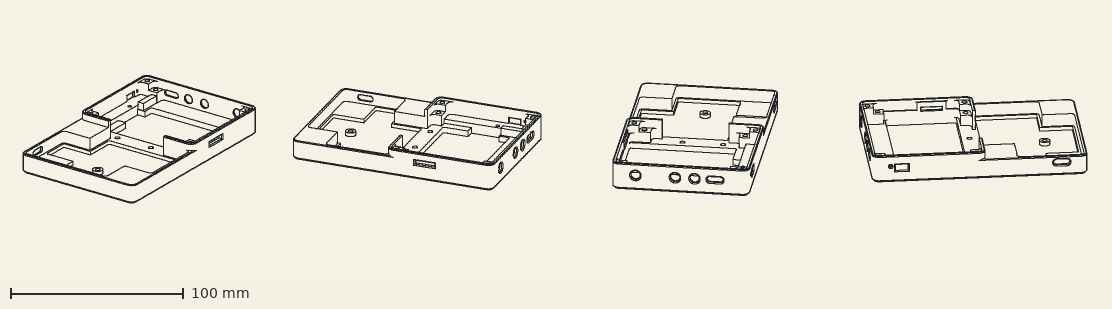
import cadquery as cq

LENGTH = 125.0
WIDTH = 80.0
HEIGHT = 16.5
LOW_HEIGHT = 12.0
WALL = 1.8
CORNER_R = 4.0
BOTTOM_CHAMFER = 1.2
RIM_CHAMFER = 0.5
STEP_Y = -3.2

FLOOR_Z = 2.2
LEDGE_Z = 4.5
TRAY_Z = 1.0
INNER_R = CORNER_R - WALL
POCKET_R = 1.0

X_IN = WIDTH / 2 - WALL
Y_IN = LENGTH / 2 - WALL
DIVIDER_Y = STEP_Y + WALL
GAP_X = 19.5

COVER_Z = 15.0
BOARD_Z = 11.0
POST_X = 35.5
POST_REAR_Y = 58.0
POST_FRONT_Y = 1.5
POST_PITCH = 6.0
POST_HALF = 3.2
WIDE_POST_X = 25.5
SCREW_D = 2.8
SCREW_DEPTH = 6.0

STRIP_X = -30.2
STRIP_Z = 7.1
RIB_WIDTH = 3.8
RIB_X = STRIP_X + RIB_WIDTH
RIB_FRONT_Y = 41.5
RIB_Z = 9.0
DRAIN_D = 2.0
DRAIN_X, DRAIN_Y = -33.0, 37.0

TRAY_X = -25.0
TRAY_RIGHT = 37.5
TRAY_FRONT_Y, TRAY_REAR_Y = 6.2, 47.5
NOTCH_FRONT_Y, NOTCH_REAR_Y = 21.8, 41.0

LINER_X = TRAY_RIGHT
LINER_Z = 10.0
CARD_Y = 20.5
CARD_BLOCK_LENGTH = 17.0
CARD_SLOT_LENGTH = 12.5
CARD_SLOT_Z = 10.5
CARD_SLOT_HEIGHT = 2.5

MARGIN = 1.2
ARM_REAR_Y = -22.0
ARM_FRONT_Y = -42.0
DEEP_FRONT_Y = -40.5
FRONT_POST_Y = -41.5
FRONT_POST_D = 6.0
FRONT_POST_Z = LEDGE_Z
PIN_DEPTH = 2.5
PIN_XS = (-16.5, 7.2)

OPENING_CHAMFER = 0.6
WINDOW_LENGTH, WINDOW_HEIGHT = 7.5, 3.8
WINDOW_Y = 45.5
WINDOW_Z = STRIP_Z + WINDOW_HEIGHT / 2
LED_Y, LED_Z, LED_D = 52.0, 10.0, 1.5
SLOT_LENGTH, SLOT_HEIGHT = 9.5, 3.5
SLOT_Y, SLOT_Z = -47.5, 8.2
REAR_HOLE_D = 5.5
REAR_HOLE_XS = (-8.2, 3.1, 26.2)
REAR_SLOT_X = -20.2
REAR_Z = 9.4


def block(x0, x1, y0, y1, z0, z1, radius=0.0):
    """Box between two corners, optionally with rounded vertical edges."""
    box = cq.Workplane("XY").box(x1 - x0, y1 - y0, z1 - z0, centered=False)
    if radius:
        box = box.edges("|Z").fillet(radius)
    return box.translate((x0, y0, z0))


def rod(x, y, z0, z1, diameter):
    """Vertical cylinder."""
    return cq.Workplane("XY", origin=(x, y, z0)).circle(diameter / 2).extrude(z1 - z0)


half_x, half_y = WIDTH / 2, LENGTH / 2
low_body = block(-half_x, half_x, -half_y, half_y, 0, LOW_HEIGHT, CORNER_R)
low_body = low_body.faces("<Z").edges().chamfer(BOTTOM_CHAMFER)
low_body = low_body.faces(">Z").edges().chamfer(RIM_CHAMFER)
high_body = block(-half_x, half_x, STEP_Y, half_y, LEDGE_Z, HEIGHT, CORNER_R)
high_body = high_body.faces(">Z").edges().chamfer(RIM_CHAMFER)
body = low_body.union(high_body)

body = body.cut(block(-X_IN, X_IN, DIVIDER_Y, Y_IN, LEDGE_Z, HEIGHT, INNER_R))
body = body.union(block(LINER_X, X_IN, DIVIDER_Y, POST_REAR_Y, LEDGE_Z, LINER_Z))
body = body.cut(
    block(TRAY_X, TRAY_RIGHT, TRAY_FRONT_Y, TRAY_REAR_Y, TRAY_Z, LEDGE_Z, POCKET_R)
)
body = body.cut(
    block(STRIP_X, TRAY_X + POCKET_R, NOTCH_FRONT_Y, NOTCH_REAR_Y, TRAY_Z, LEDGE_Z)
)
body = body.union(block(-X_IN, STRIP_X, DIVIDER_Y, POST_REAR_Y, LEDGE_Z, STRIP_Z))
body = body.union(block(STRIP_X, RIB_X, RIB_FRONT_Y, POST_REAR_Y, LEDGE_Z, RIB_Z))

body = body.cut(block(-X_IN, GAP_X, -Y_IN, ARM_REAR_Y, LEDGE_Z, HEIGHT, INNER_R))
body = body.cut(block(-GAP_X, X_IN, ARM_FRONT_Y, STEP_Y, LEDGE_Z, HEIGHT, INNER_R))
body = body.cut(
    block(-GAP_X, GAP_X, STEP_Y - INNER_R, DIVIDER_Y + INNER_R, LEDGE_Z, HEIGHT)
)
deep_x = X_IN - MARGIN
deep_gap_x = GAP_X - MARGIN
deep_rear_y = STEP_Y - MARGIN
for x0, x1, y0, y1 in (
    (-deep_x, deep_gap_x, DEEP_FRONT_Y, ARM_REAR_Y - MARGIN),
    (-deep_gap_x, deep_x, DEEP_FRONT_Y, deep_rear_y),
    (-deep_gap_x, deep_gap_x, MARGIN - Y_IN, deep_rear_y),
):
    body = body.cut(block(x0, x1, y0, y1, FLOOR_Z, LEDGE_Z, POCKET_R))
body = body.union(rod(0, FRONT_POST_Y, FLOOR_Z, FRONT_POST_Z, FRONT_POST_D))
body = body.cut(
    rod(0, FRONT_POST_Y, FRONT_POST_Z - PIN_DEPTH, FRONT_POST_Z, SCREW_D)
)
for x in PIN_XS:
    body = body.cut(rod(x, POST_FRONT_Y, LEDGE_Z - PIN_DEPTH, LEDGE_Z, SCREW_D))


def add_post(solid, x, y, top, x0, x1, y0, y1):
    """Rectangular post with a blind screw hole at (x, y)."""
    solid = solid.union(block(x0, x1, y0, y1, FLOOR_Z, top))
    return solid.cut(rod(x, y, top - SCREW_DEPTH, top, SCREW_D))


inner_x = POST_X - POST_PITCH
near_x = POST_X - POST_HALF
far_x = inner_x - POST_HALF
rear_face = POST_REAR_Y - POST_HALF
front_face = POST_FRONT_Y + POST_HALF
side_y = POST_REAR_Y - POST_PITCH

for side in (-1, 1):
    x0, x1 = sorted((side * near_x, side * X_IN))
    body = add_post(body, side * POST_X, POST_REAR_Y, COVER_Z, x0, x1, rear_face, Y_IN)
    body = add_post(
        body, side * POST_X, POST_FRONT_Y, COVER_Z, x0, x1, DIVIDER_Y, front_face
    )
body = add_post(
    body, -inner_x, POST_FRONT_Y, BOARD_Z, -near_x, -far_x, DIVIDER_Y, front_face
)
body = add_post(
    body, inner_x, POST_FRONT_Y, BOARD_Z, WIDE_POST_X, near_x, DIVIDER_Y, front_face
)
body = add_post(
    body, -inner_x, POST_REAR_Y, BOARD_Z, -near_x, -far_x, rear_face, Y_IN
)
body = add_post(
    body, POST_X, side_y, BOARD_Z, near_x, X_IN, side_y - POST_HALF, rear_face
)


def corner_fillet(x, y, dir_x, dir_y, z0, z1, radius=INNER_R):
    """Concave fillet in the corner at (x, y), filling towards (dir_x, dir_y)."""
    axis_x = x + dir_x * radius
    axis_y = y + dir_y * radius
    x0, x1 = sorted((x, axis_x))
    y0, y1 = sorted((y, axis_y))
    return block(x0, x1, y0, y1, z0, z1).cut(rod(axis_x, axis_y, z0, z1, 2 * radius))


for x, y, dir_x, dir_y, z0, z1 in (
    (-near_x, Y_IN, 1, -1, BOARD_Z, COVER_Z),
    (-far_x, Y_IN, 1, -1, LEDGE_Z, BOARD_Z),
    (near_x, Y_IN, -1, -1, LEDGE_Z, COVER_Z),
    (-near_x, DIVIDER_Y, 1, 1, BOARD_Z, COVER_Z),
    (-far_x, DIVIDER_Y, 1, 1, LEDGE_Z, BOARD_Z),
    (near_x, DIVIDER_Y, -1, 1, BOARD_Z, COVER_Z),
    (WIDE_POST_X, DIVIDER_Y, -1, 1, LEDGE_Z, BOARD_Z),
    (-X_IN, rear_face, 1, -1, STRIP_Z, COVER_Z),
    (-X_IN, front_face, 1, 1, STRIP_Z, COVER_Z),
    (X_IN, rear_face, -1, -1, BOARD_Z, COVER_Z),
    (X_IN, front_face, -1, 1, LINER_Z, COVER_Z),
    (LINER_X, front_face, -1, 1, LEDGE_Z, LINER_Z),
):
    body = body.union(corner_fillet(x, y, dir_x, dir_y, z0, z1))

half_block = CARD_BLOCK_LENGTH / 2
block_depth = X_IN - LINER_X
body = body.union(
    block(LINER_X, X_IN, CARD_Y - half_block, CARD_Y + half_block, LINER_Z, COVER_Z)
)
for side in (-1, 1):
    end_y = CARD_Y + side * half_block
    body = body.union(corner_fillet(X_IN, end_y, -1, side, LINER_Z, COVER_Z, block_depth))


def flared_opening(face, outline):
    """Cutter through a wall from its outer face; outline(workplane, growth) draws it."""
    through = outline(cq.Workplane(face), 0).extrude(half_x - LINER_X)
    flare = outline(cq.Workplane(face), 2 * OPENING_CHAMFER)
    flare = outline(flare.workplane(offset=OPENING_CHAMFER), 0).loft(ruled=True)
    return through.union(flare)


def window_outline(plane, growth):
    return plane.rect(WINDOW_LENGTH + growth, WINDOW_HEIGHT + growth)


def card_outline(plane, growth):
    return plane.rect(CARD_SLOT_LENGTH + growth, CARD_SLOT_HEIGHT + growth)


def led_outline(plane, growth):
    return plane.circle((LED_D + growth) / 2)


def slot_outline(plane, growth):
    return plane.slot2D(SLOT_LENGTH + growth, SLOT_HEIGHT + growth)


def hole_outline(plane, growth):
    return plane.circle((REAR_HOLE_D + growth) / 2)


for outline, y, z in (
    (window_outline, WINDOW_Y, WINDOW_Z),
    (led_outline, LED_Y, LED_Z),
    (slot_outline, SLOT_Y, SLOT_Z),
):
    face = cq.Plane(origin=(-half_x, y, z), xDir=(0, 1, 0), normal=(1, 0, 0))
    body = body.cut(flared_opening(face, outline))

right_face = cq.Plane(origin=(half_x, CARD_Y, CARD_SLOT_Z), xDir=(0, 1, 0), normal=(-1, 0, 0))
body = body.cut(flared_opening(right_face, card_outline))

rear_openings = [(hole_outline, x) for x in REAR_HOLE_XS]
rear_openings.append((slot_outline, REAR_SLOT_X))
for outline, x in rear_openings:
    face = cq.Plane(origin=(x, half_y, REAR_Z), xDir=(1, 0, 0), normal=(0, -1, 0))
    body = body.cut(flared_opening(face, outline))

body = body.cut(rod(DRAIN_X, DRAIN_Y, 0, STRIP_Z, DRAIN_D))

result = body